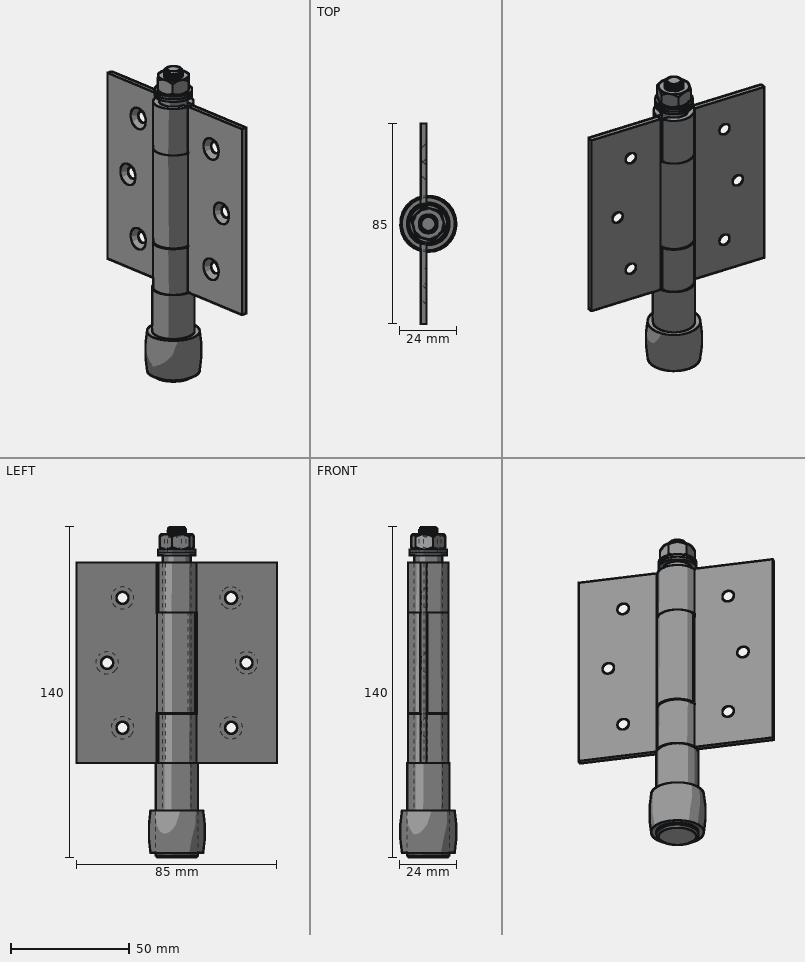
import cadquery as cq
import math

OVERALL_HEIGHT = 140.0
KNOB_BOTTOM = 2.0
KNOB_TOP = 20.0
LEAF_BOTTOM = 40.0
LEAF_HEIGHT = 85.0
LEAF_TOP = LEAF_BOTTOM + LEAF_HEIGHT

LEAF_SPAN = 85.0
LEAF_THICKNESS = 2.5
LEAF_OUTER_FACE = -3.2
LEAF_CENTRE_X = LEAF_OUTER_FACE + LEAF_THICKNESS / 2
LEAF_INNER_EDGE = 8.4
SCREW_HOLE_DIAMETER = 5.0
COUNTERSINK_DIAMETER = 9.5
COUNTERSINK_ANGLE = 90.0
END_HOLE_REACH = 23.0
MIDDLE_HOLE_REACH = 29.5
HOLE_PITCH = 27.5

PIN_DIAMETER = 12.0
KNUCKLE_DIAMETER = 17.2
END_KNUCKLE_LENGTH = LEAF_HEIGHT / 4
KNUCKLE_GAP = 0.4
SLIT_CLEARANCE = 0.4
SLIT_WIDTH = LEAF_THICKNESS + 2 * SLIT_CLEARANCE

SLEEVE_DIAMETER = 18.0
SLEEVE_CHAMFER = 1.0
KNOB_END_DIAMETER = 22.4
KNOB_DIAMETER = 24.0
PIN_BOTTOM = KNOB_TOP

SHOULDER_HEIGHT = 3.0
WASHER_DIAMETER = 16.0
WASHER_THICKNESS = 1.25
WASHER_COUNT = 2
WASHER_BOTTOM = LEAF_TOP + SHOULDER_HEIGHT
NUT_BOTTOM = WASHER_BOTTOM + WASHER_COUNT * WASHER_THICKNESS
NUT_HEIGHT = 6.5
NUT_TOP = NUT_BOTTOM + NUT_HEIGHT
NUT_ACROSS_FLATS = 13.0
NUT_TURN = 45.0
NUT_CHAMFER_ANGLE = 45.0
THREAD_DIAMETER = 8.0
THREAD_ROOT_DIAMETER = 6.65
THREAD_PITCH = 1.25
THREAD_START = NUT_TOP - 1.0
THREAD_CREST_WIDTH = THREAD_PITCH / 8
END_CHAMFER = 1.0


def cylinder(diameter, bottom, top):
    return cq.Workplane("XY").workplane(offset=bottom).circle(diameter / 2).extrude(top - bottom)


def block(x_range, y_range, z_range):
    """Box between two limits on each axis."""
    spans = [high - low for low, high in (x_range, y_range, z_range)]
    corner = (x_range[0], y_range[0], z_range[0])
    return cq.Workplane("XY").box(*spans, centered=False).translate(corner)


def leaf(side, own_knuckles):
    """Plate on the +Y (side = 1) or -Y (side = -1) side with its knuckles.

    Each knuckle is slit opposite its own plate to clear the edge of the other leaf.
    The screw holes are countersunk on the face nearest the axis.
    """

    def side_block(width, near, far, bottom, top):
        half = width / 2
        return block(
            (LEAF_CENTRE_X - half, LEAF_CENTRE_X + half),
            sorted((side * near, side * far)),
            (bottom, top),
        )

    body = side_block(LEAF_THICKNESS, LEAF_INNER_EDGE, LEAF_SPAN / 2, LEAF_BOTTOM, LEAF_TOP)
    for bottom, top in own_knuckles:
        body = body.union(cylinder(KNUCKLE_DIAMETER, bottom, top))
        body = body.cut(side_block(SLIT_WIDTH, 0, -KNUCKLE_DIAMETER, bottom, top))
    body = body.cut(cylinder(PIN_DIAMETER, LEAF_BOTTOM, LEAF_TOP))

    middle = LEAF_BOTTOM + LEAF_HEIGHT / 2
    screw_points = [
        (side * END_HOLE_REACH, middle - HOLE_PITCH),
        (side * MIDDLE_HOLE_REACH, middle),
        (side * END_HOLE_REACH, middle + HOLE_PITCH),
    ]
    inner_face = cq.Workplane("YZ").workplane(offset=LEAF_OUTER_FACE + LEAF_THICKNESS)
    inner_face = inner_face.pushPoints(screw_points)
    holes = inner_face.circle(SCREW_HOLE_DIAMETER / 2).extrude(-LEAF_THICKNESS)
    taper = COUNTERSINK_ANGLE / 2
    sink_depth = (COUNTERSINK_DIAMETER - SCREW_HOLE_DIAMETER) / 2 / math.tan(math.radians(taper))
    sinks = inner_face.circle(COUNTERSINK_DIAMETER / 2).extrude(-sink_depth, taper=taper)
    return body.cut(holes).cut(sinks)


def thread_groove():
    """Helical V groove on the stretch of thread that stands above the nut."""
    root = THREAD_ROOT_DIAMETER / 2
    crest = THREAD_DIAMETER / 2
    overshoot = 0.05
    root_half = THREAD_PITCH / 8
    mouth_half = (THREAD_PITCH - THREAD_CREST_WIDTH) / 2
    helix = cq.Wire.makeHelix(THREAD_PITCH, OVERALL_HEIGHT + THREAD_PITCH - THREAD_START, root)
    profile = cq.Workplane("XZ").polyline(
        [
            (root, -root_half),
            (crest + overshoot, -mouth_half),
            (crest + overshoot, mouth_half),
            (root, root_half),
        ]
    ).close()
    return profile.sweep(cq.Workplane(obj=helix), isFrenet=True).translate((0, 0, THREAD_START))


def hinge_pin():
    """Smooth pin with a threaded end."""
    shaft = cylinder(PIN_DIAMETER, PIN_BOTTOM, WASHER_BOTTOM)
    stud = cylinder(THREAD_DIAMETER, WASHER_BOTTOM, OVERALL_HEIGHT)
    stud = stud.faces(">Z").chamfer(END_CHAMFER)
    return shaft.union(stud).cut(thread_groove())


def washer(bottom):
    top = bottom + WASHER_THICKNESS
    return cylinder(WASHER_DIAMETER, bottom, top).cut(cylinder(THREAD_DIAMETER, bottom, top))


def nut():
    """Hexagon nut with conical chamfers at both ends."""
    corner_radius = NUT_ACROSS_FLATS / math.sqrt(3)
    flat_radius = NUT_ACROSS_FLATS / 2
    drop = (corner_radius - flat_radius) * math.tan(math.radians(NUT_CHAMFER_ANGLE))
    hexagon = (
        cq.Workplane("XY")
        .polygon(6, 2 * corner_radius)
        .extrude(NUT_HEIGHT)
        .rotate((0, 0, 0), (0, 0, 1), NUT_TURN)
    )
    envelope = (
        cq.Workplane("XZ")
        .moveTo(0, 0)
        .lineTo(flat_radius, 0)
        .lineTo(corner_radius, drop)
        .lineTo(corner_radius, NUT_HEIGHT - drop)
        .lineTo(flat_radius, NUT_HEIGHT)
        .lineTo(0, NUT_HEIGHT)
        .close()
        .revolve(360, (0, 0), (0, 1))
    )
    body = hexagon.intersect(envelope).translate((0, 0, NUT_BOTTOM))
    return body.cut(cylinder(THREAD_DIAMETER, NUT_BOTTOM, NUT_TOP))


def sleeve():
    """Lower sleeve with a blind bore that takes the end of the pin."""
    body = cylinder(SLEEVE_DIAMETER, 0, LEAF_BOTTOM).faces("<Z").chamfer(SLEEVE_CHAMFER)
    return body.cut(cylinder(PIN_DIAMETER, PIN_BOTTOM, LEAF_BOTTOM))


def knob():
    """Barrel-shaped ring around the sleeve."""
    bore = SLEEVE_DIAMETER / 2
    end = KNOB_END_DIAMETER / 2
    return (
        cq.Workplane("XZ")
        .moveTo(bore, KNOB_BOTTOM)
        .lineTo(end, KNOB_BOTTOM)
        .threePointArc((KNOB_DIAMETER / 2, (KNOB_BOTTOM + KNOB_TOP) / 2), (end, KNOB_TOP))
        .lineTo(bore, KNOB_TOP)
        .close()
        .revolve(360, (0, 0), (0, 1))
    )


middle_bottom = LEAF_BOTTOM + END_KNUCKLE_LENGTH
middle_top = LEAF_TOP - END_KNUCKLE_LENGTH
end_knuckles = [(LEAF_BOTTOM, middle_bottom - KNUCKLE_GAP), (middle_top, LEAF_TOP)]
middle_knuckle = [(middle_bottom, middle_top)]

front_leaf = leaf(-1, end_knuckles)
back_leaf = leaf(1, middle_knuckle)
washers = [washer(WASHER_BOTTOM + i * WASHER_THICKNESS) for i in range(WASHER_COUNT)]

result = cq.Compound.makeCompound(
    [
        front_leaf.val(),
        back_leaf.val(),
        hinge_pin().val(),
        *[ring.val() for ring in washers],
        nut().val(),
        sleeve().val(),
        knob().val(),
    ]
)